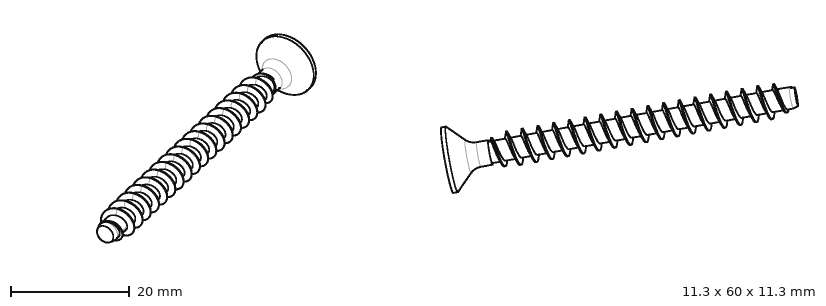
import cadquery as cq
import math


length = 60.0
head_radius = 11.3 / 2
rim_thickness = 0.8
cone_angle = 45.0
neck_fillet = 2.6
shank_radius = 4.25 / 2
shank_end = 7.4

core_radius = 3.7 / 2
tip_chamfer_length = 0.9
tip_chamfer_depth = 0.25

pitch = 2.7
thread_turns = 19.5
thread_start = 6.85
fade_turns = 1.25
crest_radius = 6.0 / 2
start_radius = 2.05
end_radius = 1.77
buried_radius = 1.7
crest_width = 0.2
flank_angle = 17.0
points_per_turn = 24


def make_blank():
    """Head, neck, shank and core turned as one revolved profile."""
    cone_slope = math.radians(cone_angle)
    cone_end = rim_thickness + (head_radius - shank_radius) / math.tan(cone_slope)
    tangent = neck_fillet * math.tan(cone_slope / 2)
    fillet_end = cone_end + tangent
    fillet_start = (
        shank_radius + tangent * math.sin(cone_slope),
        -(cone_end - tangent * math.cos(cone_slope)),
    )
    fillet_middle = (
        shank_radius + neck_fillet * (1 - math.cos(cone_slope / 2)),
        -(fillet_end - neck_fillet * math.sin(cone_slope / 2)),
    )
    profile = (
        cq.Workplane("XY")
        .lineTo(head_radius, 0)
        .lineTo(head_radius, -rim_thickness)
        .lineTo(*fillet_start)
        .threePointArc(fillet_middle, (shank_radius, -fillet_end))
        .lineTo(shank_radius, -shank_end)
        .lineTo(core_radius, -shank_end)
        .lineTo(core_radius, -(length - tip_chamfer_length))
        .lineTo(core_radius - tip_chamfer_depth, -length)
        .lineTo(0, -length)
        .close()
    )
    return profile.revolve(360, (0, 0, 0), (0, 1, 0))


def crest_radius_at(turn):
    """Crest radius after a number of turns, ramped at both ends of the thread."""
    grow = start_radius + (crest_radius - start_radius) * turn / fade_turns
    fade = end_radius + (crest_radius - end_radius) * (thread_turns - turn) / fade_turns
    return min(crest_radius, grow, fade)


def thread_corners(turn):
    """The four corners of the thread section after a number of turns."""
    crest = crest_radius_at(turn)
    half_crest = crest_width / 2
    half_base = half_crest + (crest - buried_radius) * math.tan(math.radians(flank_angle))
    angle = 2 * math.pi * turn
    centre = thread_start + pitch * turn
    section = [
        (buried_radius, -half_base),
        (crest, -half_crest),
        (crest, half_crest),
        (buried_radius, half_base),
    ]
    return [
        cq.Vector(radius * math.cos(angle), -(centre + offset), radius * math.sin(angle))
        for radius, offset in section
    ]


def make_thread_piece(first_turn, last_turn):
    """Solid stretch of thread bounded by ruled faces between its four corner helices."""
    steps = round((last_turn - first_turn) * points_per_turn)
    turn_step = (last_turn - first_turn) / steps
    turns = [first_turn + turn_step * step for step in range(steps + 1)]
    sections = [thread_corners(turn) for turn in turns]
    helices = [
        cq.Edge.makeSpline(list(points), parameters=turns)
        for points in zip(*sections)
    ]
    faces = [
        cq.Face.makeRuledSurface(helices[i - 1], helices[i])
        for i in range(len(helices))
    ]
    for corners in (sections[0], sections[-1]):
        outline = cq.Wire.makePolygon(corners, close=True)
        faces.append(cq.Face.makeFromWires(outline))
    return cq.Solid.makeSolid(cq.Shell.makeShell(faces))


def make_thread():
    """Pieces of the thread: the fade-in, single full-height turns and the fade-out."""
    full_turns = round(thread_turns - 2 * fade_turns)
    joints = [0]
    joints += [fade_turns + turn for turn in range(full_turns + 1)]
    joints += [thread_turns]
    return [make_thread_piece(first, last) for first, last in zip(joints, joints[1:])]


screw = make_blank().val().fuse(*make_thread())
result = cq.Workplane(obj=screw.Solids()[0])